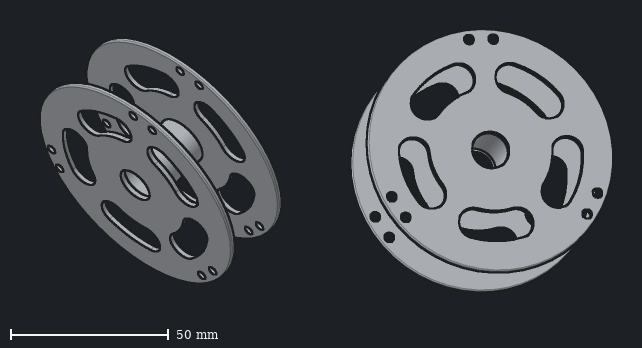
import cadquery as cq
import math

flange_diameter = 80.0
spool_width = 25.0
flange_thickness = 2.0
rim_fillet = 0.5

hub_diameter = 17.0
hub_cavity_diameter = 14.0
bore_diameter = 12.0

slot_count = 5
slot_inner_radius = 20.0
slot_outer_radius = 30.0
slot_first_angle = 49.7
slot_half_span = 16.5

hole_pair_count = 3
rim_hole_diameter = 3.0
rim_hole_radius = 36.6
hole_pair_first_angle = 85.1
hole_pair_half_spacing = 6.2

front_face = -spool_width / 2
back_face = spool_width / 2
front_flange_inside = front_face + flange_thickness
back_flange_inside = back_face - flange_thickness


def polar(radius, angle):
    """Point in the XZ plane at an angle in degrees, from +X towards +Z."""
    return (radius * math.cos(math.radians(angle)), radius * math.sin(math.radians(angle)))


def plane_at(y):
    """Work plane with local x along X, local y along Z and its normal towards -Y."""
    return cq.Workplane("XZ", origin=(0, y, 0))


def cylinder(diameter, start_y, end_y):
    return plane_at(end_y).circle(diameter / 2).extrude(end_y - start_y)


def tube(outer_diameter, inner_diameter, start_y, end_y):
    return cylinder(outer_diameter, start_y, end_y).cut(cylinder(inner_diameter, start_y, end_y))


def slot_cutter(center_angle, start_y, end_y):
    """Arc-shaped slot with full-round ends."""
    first_angle = center_angle - slot_half_span
    last_angle = center_angle + slot_half_span
    middle_radius = (slot_inner_radius + slot_outer_radius) / 2
    end_radius = (slot_outer_radius - slot_inner_radius) / 2
    first_center = polar(middle_radius, first_angle)
    last_center = polar(middle_radius, last_angle)
    first_offset = polar(end_radius, first_angle - 90)
    last_offset = polar(end_radius, last_angle + 90)
    first_tip = (first_center[0] + first_offset[0], first_center[1] + first_offset[1])
    last_tip = (last_center[0] + last_offset[0], last_center[1] + last_offset[1])
    return (
        plane_at(end_y)
        .moveTo(*polar(slot_outer_radius, first_angle))
        .threePointArc(polar(slot_outer_radius, center_angle), polar(slot_outer_radius, last_angle))
        .threePointArc(last_tip, polar(slot_inner_radius, last_angle))
        .threePointArc(polar(slot_inner_radius, center_angle), polar(slot_inner_radius, first_angle))
        .threePointArc(first_tip, polar(slot_outer_radius, first_angle))
        .close()
        .extrude(end_y - start_y)
    )


def rim_hole_points():
    points = []
    for pair in range(hole_pair_count):
        pair_angle = hole_pair_first_angle + pair * 360 / hole_pair_count
        for side in (-1, 1):
            points.append(polar(rim_hole_radius, pair_angle + side * hole_pair_half_spacing))
    return points


def flange(start_y, end_y):
    """Disc with rounded rims, a bore, curved slots and pairs of rim holes."""
    disc = cylinder(flange_diameter, start_y, end_y).edges().fillet(rim_fillet)
    disc = disc.cut(cylinder(bore_diameter, start_y, end_y))
    for index in range(slot_count):
        slot_angle = slot_first_angle + index * 360 / slot_count
        disc = disc.cut(slot_cutter(slot_angle, start_y, end_y))
    rim_holes = (
        plane_at(end_y)
        .pushPoints(rim_hole_points())
        .circle(rim_hole_diameter / 2)
        .extrude(end_y - start_y)
    )
    return disc.cut(rim_holes)


def hub_flange():
    """Front flange with the hollow hub that reaches the back flange."""
    hub = tube(hub_diameter, hub_cavity_diameter, front_flange_inside, back_flange_inside)
    return flange(front_face, front_flange_inside).union(hub)


def end_flange():
    """Back flange that closes the open end of the hub."""
    return flange(back_flange_inside, back_face)


front_body = hub_flange()
back_body = end_flange()

result = cq.Compound.makeCompound([front_body.val(), back_body.val()])